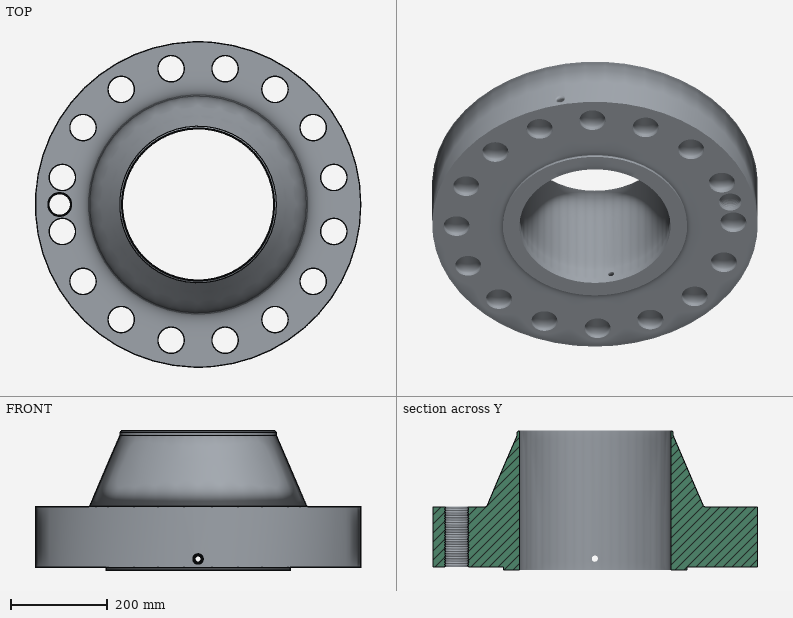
import cadquery as cq
import math

flange_diameter = 673.0
total_height = 289.0
face_diameter = 381.0
face_height = 6.0
flange_top = 132.0
bore_diameter = 312.0

hub_base_diameter = 449.5
hub_fillet = 3.0
weld_end_diameter = 324.0
weld_collar_bottom = 278.5
weld_bevel_height = 3.5
weld_land_diameter = 316.5

bolt_circle_radius = 286.0
bolt_count = 16
bolt_hole_diameter = 54.0

jack_major_diameter = 49.0
jack_minor_diameter = 44.5
jack_pitch = 5.0

tap_height = 23.5
tap_major_diameter = 21.5
tap_minor_diameter = 17.5
tap_pitch = 1.8
tap_thread_length = 27.0
tap_pilot_diameter = 13.0


def flange_body():
    """Revolved flange, hub and weld end with the bore left open."""
    bevel_bottom = total_height - weld_bevel_height
    body = (
        cq.Workplane("XZ")
        .moveTo(bore_diameter / 2, 0)
        .lineTo(face_diameter / 2, 0)
        .lineTo(face_diameter / 2, face_height)
        .lineTo(flange_diameter / 2, face_height)
        .lineTo(flange_diameter / 2, flange_top)
        .lineTo(hub_base_diameter / 2, flange_top)
        .lineTo(weld_end_diameter / 2, weld_collar_bottom)
        .lineTo(weld_end_diameter / 2, bevel_bottom)
        .lineTo(weld_land_diameter / 2, total_height)
        .lineTo(bore_diameter / 2, total_height)
        .close()
        .revolve(360, (0, 0, 0), (0, 1, 0))
    )
    hub_root = cq.selectors.RadiusNthSelector(0)
    flange_top_face = body.faces(cq.selectors.NearestToPointSelector((bolt_circle_radius, 0, flange_top)))
    return flange_top_face.edges(hub_root).fillet(hub_fillet)


def threaded_plug(major_diameter, minor_diameter, pitch, length):
    """Cutter standing on the origin along +Z, with one ring-shaped V ridge per thread pitch."""
    minor_radius = minor_diameter / 2
    major_radius = major_diameter / 2
    turns = math.ceil(length / pitch)
    profile = cq.Workplane("XZ").lineTo(major_radius, 0)
    for turn in range(turns):
        profile = profile.lineTo(minor_radius, (turn + 0.5) * pitch)
        profile = profile.lineTo(major_radius, (turn + 1) * pitch)
    return profile.lineTo(0, turns * pitch).close().revolve(360, (0, 0, 0), (0, 1, 0))


def bolt_holes():
    """Ring of through holes straddling the X and Y axes."""
    return (
        cq.Workplane("XY")
        .polarArray(bolt_circle_radius, 180 / bolt_count, 360, bolt_count)
        .circle(bolt_hole_diameter / 2)
        .extrude(flange_top)
    )


def jack_screw_hole():
    """Threaded through hole on the -X side of the bolt circle, starting at the flange top."""
    plug = threaded_plug(jack_major_diameter, jack_minor_diameter, jack_pitch, flange_top)
    plug = plug.rotate((0, 0, 0), (1, 0, 0), 180)
    return plug.translate((-bolt_circle_radius, 0, flange_top))


def pressure_tap():
    """Tap entering from the -Y rim: a threaded mouth followed by a pilot hole into the bore."""
    mouth = threaded_plug(tap_major_diameter, tap_minor_diameter, tap_pitch, tap_thread_length)
    pilot = cq.Workplane("XY").circle(tap_pilot_diameter / 2).extrude(flange_diameter / 2)
    tap = mouth.union(pilot).rotate((0, 0, 0), (1, 0, 0), -90)
    return tap.translate((0, -flange_diameter / 2, tap_height))


result = flange_body().cut(bolt_holes()).cut(jack_screw_hole())
for side_angle in (0, 180):
    result = result.cut(pressure_tap().rotate((0, 0, 0), (0, 0, 1), side_angle))